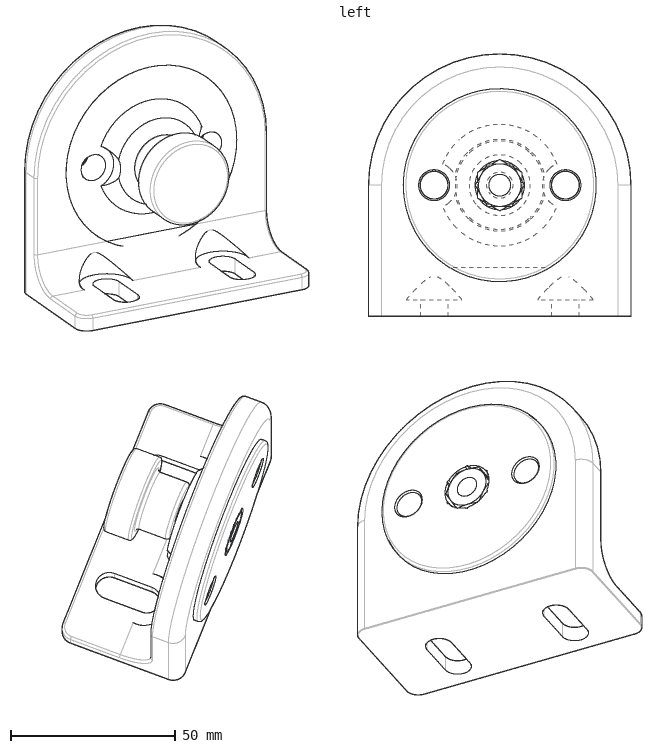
import cadquery as cq
import math

AXIS_HEIGHT = 40.0

DISC_DIAMETER = 58.8
DISC_PROTRUSION = 2.0
DISC_EDGE_RADIUS = 0.8

BRACKET_WIDTH = 80.0
PLATE_FRONT = DISC_PROTRUSION
PLATE_THICKNESS = 10.0
PLATE_BACK = PLATE_FRONT + PLATE_THICKNESS
PLATE_FRONT_RADIUS = 4.0
FOOT_END = 42.0
FOOT_THICKNESS = 5.0
FOOT_CORNER_RADIUS = 4.0
WEB_RADIUS = 10.0
BRACKET_EDGE_RADIUS = 0.8
UNDERSIDE_EDGE_RADIUS = 0.2

BOSS_END_DIAMETER = 28.0
BOSS_LENGTH = 4.6
BOSS_END = PLATE_BACK + BOSS_LENGTH
BOSS_BASE_DIAMETER = BOSS_END_DIAMETER + 2 * BOSS_LENGTH

HOLE_OFFSET = 20.0
HOLE_DIAMETER = 8.4
HOLE_RIM_DIAMETER = 9.4
HOLE_RIM_CHAMFER = (HOLE_RIM_DIAMETER - HOLE_DIAMETER) / 2
HOLE_CLEARANCE_DIAMETER = 14.0
SLOT_WIDTH = HOLE_DIAMETER
SLOT_START = 16.6
SLOT_LENGTH = 20.6
SLOT_CLEARANCE_RADIUS = 8.4

NUT_FLATS = 13.0
NUT_THICKNESS = 6.5
NUT_BORE = 6.6
NUT_CHAMFER_ANGLE = 30.0
RECESS_DIAMETER = 15.0
RELIEF_FLATS = 13.6
RELIEF_BEHIND_NUT = 0.8
RELIEF_DEPTH = NUT_THICKNESS + RELIEF_BEHIND_NUT
HEX_CORNER_RATIO = 2 / math.sqrt(3)

STUD_DIAMETER = 8.0
STUD_TIP_DIAMETER = NUT_BORE
KNOB_START = 17.8
KNOB_STEP = 28.6
KNOB_END = 37.6
KNOB_NECK_DIAMETER = 18.6
KNOB_HEAD_DIAMETER = 27.0
KNOB_NECK_RADIUS = 1.0
KNOB_HEAD_RADIUS = 0.8


def cylinder_x(diameter, x_start, x_end, y=0.0):
    """Cylinder parallel to X at the height of the main axis."""
    plane = cq.Workplane("YZ", origin=(x_start, y, AXIS_HEIGHT))
    return plane.circle(diameter / 2).extrude(x_end - x_start)


def cone_x(start_diameter, end_diameter, x_start, x_end, y=0.0):
    """Truncated cone parallel to X at the height of the main axis."""
    return cq.Workplane(cq.Solid.makeCone(
        start_diameter / 2,
        end_diameter / 2,
        x_end - x_start,
        pnt=cq.Vector(x_start, y, AXIS_HEIGHT),
        dir=cq.Vector(1, 0, 0),
    ))


def hexagon_x(flats, x_start, x_end, turn):
    """Hexagon prism on the main axis, with corners at +-Y when turn is 0."""
    plane = cq.Workplane("YZ", origin=(x_start, 0, AXIS_HEIGHT))
    prism = plane.polygon(6, flats * HEX_CORNER_RATIO).extrude(x_end - x_start)
    axis_start = (0, 0, AXIS_HEIGHT)
    axis_end = (1, 0, AXIS_HEIGHT)
    return prism.rotate(axis_start, axis_end, turn)


def make_bracket_blank():
    """Plate and foot with all their rounded edges, before the disc bore and the slots."""
    half_width = BRACKET_WIDTH / 2
    plate = (
        cq.Workplane("YZ", origin=(PLATE_FRONT, 0, 0))
        .moveTo(-half_width, 0)
        .lineTo(half_width, 0)
        .lineTo(half_width, AXIS_HEIGHT)
        .threePointArc((0, AXIS_HEIGHT + half_width), (-half_width, AXIS_HEIGHT))
        .close()
        .extrude(PLATE_THICKNESS)
    )
    foot = (
        cq.Workplane("XZ", origin=(0, half_width, 0))
        .moveTo(PLATE_FRONT + PLATE_FRONT_RADIUS, 0)
        .lineTo(FOOT_END, 0)
        .lineTo(FOOT_END, FOOT_THICKNESS)
        .lineTo(PLATE_BACK + WEB_RADIUS, FOOT_THICKNESS)
        .radiusArc((PLATE_BACK, FOOT_THICKNESS + WEB_RADIUS), WEB_RADIUS)
        .lineTo(PLATE_FRONT + PLATE_FRONT_RADIUS, FOOT_THICKNESS + WEB_RADIUS)
        .close()
        .extrude(BRACKET_WIDTH)
    )
    blank = plate.union(foot).clean()
    blank = blank.edges("|Z and >X").fillet(FOOT_CORNER_RADIUS)
    blank = blank.faces("<X").edges("not <Z").fillet(PLATE_FRONT_RADIUS)
    foot_top_end = cq.selectors.NearestToPointSelector((FOOT_END, 0, FOOT_THICKNESS))
    blank = blank.edges(foot_top_end).fillet(BRACKET_EDGE_RADIUS)
    return blank.faces("<Z").edges().fillet(UNDERSIDE_EDGE_RADIUS)


def make_bracket():
    """Bracket with a bore for the disc and two slots in the foot."""
    bracket = make_bracket_blank()
    bracket = bracket.cut(cylinder_x(DISC_DIAMETER, PLATE_FRONT, PLATE_BACK))
    slot_center = SLOT_START + SLOT_LENGTH / 2
    clearance_center = SLOT_START + SLOT_WIDTH / 2
    for y in (-HOLE_OFFSET, HOLE_OFFSET):
        slot = (
            cq.Workplane("XY", origin=(slot_center, y, 0))
            .slot2D(SLOT_LENGTH, SLOT_WIDTH)
            .extrude(FOOT_THICKNESS)
        )
        clearance = (
            cq.Workplane("XY", origin=(clearance_center, y, FOOT_THICKNESS))
            .circle(SLOT_CLEARANCE_RADIUS)
            .extrude(WEB_RADIUS)
        )
        bracket = bracket.cut(slot).cut(clearance)
    return bracket


def make_disc():
    """Disc with its boss, two screw holes, the nut recess and the stud hole."""
    disc = cylinder_x(DISC_DIAMETER, 0, PLATE_BACK)
    disc = disc.faces("<X").edges().fillet(DISC_EDGE_RADIUS)
    disc = disc.union(cone_x(BOSS_BASE_DIAMETER, BOSS_END_DIAMETER, PLATE_BACK, BOSS_END))
    for y in (-HOLE_OFFSET, HOLE_OFFSET):
        disc = disc.cut(cylinder_x(HOLE_CLEARANCE_DIAMETER, PLATE_BACK, BOSS_END, y))
        disc = disc.cut(cylinder_x(HOLE_DIAMETER, 0, PLATE_BACK, y))
        disc = disc.cut(cone_x(HOLE_RIM_DIAMETER, HOLE_DIAMETER, 0, HOLE_RIM_CHAMFER, y))
    disc = disc.cut(cylinder_x(RECESS_DIAMETER, 0, NUT_THICKNESS))
    disc = disc.cut(hexagon_x(RELIEF_FLATS, 0, RELIEF_DEPTH, turn=30))
    return disc.cut(cylinder_x(STUD_DIAMETER, RELIEF_DEPTH, BOSS_END))


def make_nut():
    """Hexagon nut with its corners chamfered at the exposed end."""
    corner_diameter = NUT_FLATS * HEX_CORNER_RATIO
    chamfer_width = (corner_diameter - NUT_FLATS) / 2
    chamfer_depth = chamfer_width * math.tan(math.radians(NUT_CHAMFER_ANGLE))
    nut = hexagon_x(NUT_FLATS, 0, NUT_THICKNESS, turn=0)
    envelope = cone_x(NUT_FLATS, corner_diameter, 0, chamfer_depth)
    envelope = envelope.union(cylinder_x(corner_diameter, chamfer_depth, NUT_THICKNESS))
    return nut.intersect(envelope).cut(cylinder_x(NUT_BORE, 0, NUT_THICKNESS))


def make_stud():
    """Stud from the nut face into the knob neck, thinner inside the nut."""
    stud = cylinder_x(STUD_DIAMETER, NUT_THICKNESS, KNOB_STEP)
    return stud.union(cylinder_x(STUD_TIP_DIAMETER, 0, NUT_THICKNESS))


def make_knob():
    """Stepped round knob with a blind hole for the stud."""
    neck = cylinder_x(KNOB_NECK_DIAMETER, KNOB_START, KNOB_STEP)
    neck = neck.faces("<X").edges().fillet(KNOB_NECK_RADIUS)
    head = cylinder_x(KNOB_HEAD_DIAMETER, KNOB_STEP, KNOB_END)
    head = head.edges().fillet(KNOB_HEAD_RADIUS)
    step_corner = cq.selectors.NearestToPointSelector((KNOB_STEP, 0, AXIS_HEIGHT))
    knob = neck.union(head).edges(step_corner).fillet(KNOB_NECK_RADIUS)
    return knob.cut(cylinder_x(STUD_DIAMETER, KNOB_START, KNOB_STEP))


bracket = make_bracket()
disc = make_disc()
nut = make_nut()
stud = make_stud()
knob = make_knob()

result = cq.Compound.makeCompound([
    bracket.val(),
    disc.val(),
    nut.val(),
    stud.val(),
    knob.val(),
])